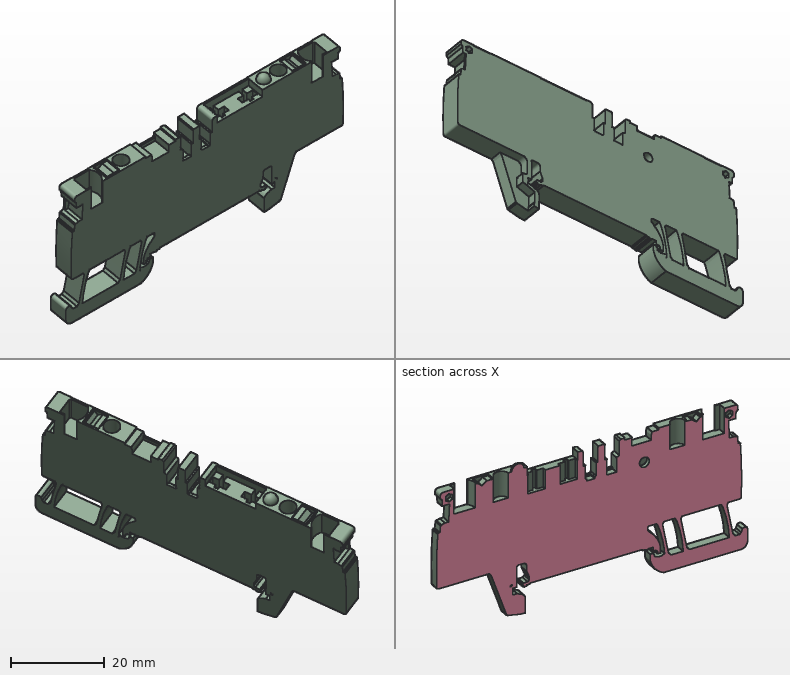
import cadquery as cq

THICKNESS = 5.1
X_LEFT = -THICKNESS / 2
X_RIGHT = THICKNESS / 2
SKIN = 0.55
X_INNER = X_LEFT + SKIN

Y_HIGH_END = 77.05
Y_LOW_END = 1.5
Y_MID = (Y_HIGH_END + Y_LOW_END) / 2
TOP = 36.2
TOTAL_HEIGHT = 37.75
BELLY = 12.55
RAIL_SEAT = 7.25
RIM_BEVEL_HEIGHT = 0.2
RIM_BEVEL_WIDTH = 0.1
EPS = 0.4


def slab(path, x_from=X_LEFT, x_to=X_RIGHT):
    """Prism over a closed YZ outline.

    A path entry (y, z) is a straight stretch to that point; an entry (y1, z1, y2, z2)
    is an arc through the first point that ends at the second.
    """
    outline = cq.Workplane("YZ", origin=(x_from, 0, 0)).moveTo(*path[0])
    for step in path[1:]:
        if len(step) == 2:
            outline = outline.lineTo(*step)
        else:
            outline = outline.threePointArc(step[:2], step[2:])
    return outline.close().extrude(x_to - x_from)


def box(x_range, y_range, z_range):
    """Box given by its ranges along the three axes."""
    sizes = [high - low for low, high in (x_range, y_range, z_range)]
    corner = (x_range[0], y_range[0], z_range[0])
    return cq.Workplane("XY").box(*sizes, centered=False).translate(corner)


def both_ends(shape):
    """A feature of the +Y half together with its mirror image in the -Y half."""
    return shape.union(shape.mirror("XZ", (0, Y_MID, 0)))


SLOT_FLOOR = 28.7
SLOT_LEDGE = 32.3
CHANNEL_X = (-1.85, 1.85)
CHANNEL_Y = ((37.9, 39.8), (32.5, 34.8))
CHANNEL_DEPTH = 0.3
NOTCH_STEP = 35.75
NOTCH_FLOOR = 34.7
NOTCH_Y = (23.95, 28.6)

END_BLOCK = 4.6
LABEL_Z = (28.5, 32.75)
LABEL_INSETS = (2.1, 2.3)
RECESS_DEPTH = 0.9

END_PROFILE = [
    (END_BLOCK, BELLY), (0.55, BELLY), (0.2, 12.7, 0.1, 13.1), (0, 18.1, 0.3, 26.3),
    (0.55, 26.5), (0.85, 26.5), (1.0, 28.1), (1.2, 28.3), (1.6, 28.35),
    (LABEL_INSETS[0], LABEL_Z[0]), (LABEL_INSETS[1], LABEL_Z[1]),
    (1.5, 32.75), (1.4, 34.3), (0.9, 34.8), (0.9, 35.4), (1.15, 36.0, 1.7, TOP), (END_BLOCK, TOP),
]

TOP_PROFILE = [
    (41.4, TOP), (40.8, 36.0, 40.6, 35.4), (40.6, SLOT_LEDGE), (40.1, SLOT_LEDGE), (40.1, 29.05),
    (39.8, SLOT_FLOOR), (37.9, SLOT_FLOOR), (37.6, 29.05), (37.6, SLOT_LEDGE), (37.1, SLOT_LEDGE),
    (37.1, 35.9), (37.05, TOP),
    (35.4, TOP), (35.3, 35.9), (35.3, SLOT_LEDGE), (34.8, SLOT_LEDGE), (34.8, SLOT_FLOOR),
    (32.5, SLOT_FLOOR), (32.5, 32.0), (31.8, 32.35), (31.8, 35.9), (31.4, TOP),
    (30.4, TOP), (30.4, NOTCH_STEP), (NOTCH_Y[1], NOTCH_STEP), (NOTCH_Y[1], 35.0), (28.35, NOTCH_FLOOR),
    (24.1, NOTCH_FLOOR), (NOTCH_Y[0], 35.0), (23.7, NOTCH_STEP), (22.1, NOTCH_STEP), (22.1, TOP),
]

RAIL_PROFILE = [
    (24.3, BELLY), (24.6, 12.5, 24.7, 12.2), (24.7, 11.6), (23.1, 10.0), (22.2, 8.6), (21.8, 7.7),
    (21.6, 6.8), (21.6, 5.1), (22.3, 5.1), (22.35, 5.6), (22.7, 6.1), (23.4, 6.1), (23.4, 7.0),
    (24.5, 7.0), (24.7, 6.8), (25.1, 6.8), (25.35, 7.0), (26.0, 7.0), (26.2, RAIL_SEAT),
    (53.8, RAIL_SEAT), (53.9, 7.0), (54.55, 7.0), (54.8, 6.8), (55.3, 6.8), (55.5, 7.0), (55.7, 7.0),
    (55.7, 7.6), (55.55, 7.85), (54.5, 7.85), (54.1, 8.25), (54.1, 8.85),
    (54.8, 10.55), (54.8, 11.9), (54.9, 12.3, 55.4, BELLY), (59.25, BELLY),
]


def at_high_end(step):
    """Turn the distances in a path entry into Y positions at the +Y end."""
    return [Y_HIGH_END - value if index % 2 == 0 else value for index, value in enumerate(step)]


def make_housing():
    ends = both_ends(slab([at_high_end(step) for step in END_PROFILE]))
    high_joint = Y_HIGH_END - END_BLOCK
    low_joint = Y_LOW_END + END_BLOCK
    middle = [(high_joint, TOP)] + TOP_PROFILE + [(low_joint, TOP), (low_joint, BELLY)]
    middle += RAIL_PROFILE + [(high_joint, BELLY)]
    return slab(middle).union(ends)


def make_recesses():
    """Label recesses and marker notch, sunk behind the rim of the side wall."""
    bottom, top = (Y_HIGH_END - inset for inset in LABEL_INSETS)
    label = slab(
        [
            (bottom + EPS, LABEL_Z[0]), (bottom - RECESS_DEPTH, LABEL_Z[0]),
            (top - RECESS_DEPTH, LABEL_Z[1]), (top + EPS, LABEL_Z[1]),
        ],
        X_INNER,
        X_RIGHT + EPS,
    )
    notch = box((X_INNER, X_RIGHT + EPS), NOTCH_Y, (NOTCH_FLOOR - RECESS_DEPTH, NOTCH_STEP))
    return both_ends(label).union(notch)


def make_slot_channels():
    """Shallow channel along the floor of each slot."""
    z_range = (SLOT_FLOOR - CHANNEL_DEPTH, SLOT_FLOOR + EPS)
    channels = [box(CHANNEL_X, y_range, z_range) for y_range in CHANNEL_Y]
    return channels[0].union(channels[1])


WEB_RECESS = 2.1

HOOK = [
    (59.25, BELLY), (58.55, 12.2, 58.25, 11.3), (58.25, 8.4), (58.5, 8.0, 59.1, 7.85), (59.4, 7.85),
    (59.4, 5.4), (56.2, 4.2), (56.2, 1.5), (56.4, 1.3), (56.4, 0.3), (55.0, 0.2),
    (55.0, 4.3), (55.4, 4.85, 56.2, 5.3), (57.1, 5.7), (58.0, 5.7), (58.0, 7.25), (57.1, 7.25),
    (57.1, 12.2), (56.9, 12.5, 56.6, BELLY),
]
WEB = [
    (63.95, BELLY), (63.5, 11.95), (59.7, 1.15), (59.4, 0.9), (56.4, 0.3), (56.4, 1.3), (56.2, 1.5),
    (56.2, 4.2), (58.7, 5.4), (58.7, 7.9), (58.2, 8.4), (58.2, BELLY),
]


def make_latch():
    return slab(HOOK).union(slab(WEB, X_LEFT + WEB_RECESS, X_RIGHT))


FOOT_TOP = 3.9
LEG_Y = (19.0, 14.5, 3.1)

FOOT = [
    (24.2, 5.6), (24.2, 4.0), (22.95, 1.55, 20.8, 0), (1.7, 0), (0.55, 0.5, 0, 1.55),
    (0, 4.5), (0.55, 5.3, 1.4, 5.1), (1.7, 4.3), (2.1, FOOT_TOP),
    (20.65, FOOT_TOP), (20.65, 4.8), (21.9, 4.4, 23.0, 4.8), (23.3, 5.6),
]


def make_leg(y):
    """Curved spring leg, flared where it meets the housing."""
    return slab([
        (y, FOOT_TOP), (y + 1.55, FOOT_TOP), (y + 2.0, 7.7, y + 3.15, 11.9), (y + 3.55, BELLY),
        (y + 1.7, BELLY), (y + 2.0, 12.0), (y + 1.15, 7.7, y + 0.55, 4.6),
    ])


def make_foot():
    foot = slab(FOOT)
    for leg_y in LEG_Y:
        foot = foot.union(make_leg(leg_y))
    return foot


ENTRY_Y = (68.2, 72.65)
ENTRY_BULGE = 0.8
ENTRY_DEPTH = 6.2
ENTRY_CORNER = 0.3
ENTRY_WALL = 0.3
WINDOW_Y = (68.25, 71.4)
TEST_HOLE_Y = 61.1
TEST_HOLE_RADIUS = 1.85
TEST_HOLE_DEPTH = 6.2
GROOVE_X = (-2.1, 2.1)
GROOVE_LEDGE = TOP - 0.4
GROOVE_FLOOR = TOP - 1.2


def make_wire_entry():
    """Wire opening with a bulged inner end and a window through the +X wall."""
    x_wall = X_RIGHT - ENTRY_WALL
    inner, outer = ENTRY_Y
    opening = (
        cq.Workplane("XY", origin=(0, 0, TOP - ENTRY_DEPTH))
        .moveTo(X_INNER + ENTRY_CORNER, outer)
        .lineTo(x_wall, outer)
        .lineTo(x_wall, inner)
        .threePointArc(((X_INNER + x_wall) / 2, inner - ENTRY_BULGE), (X_INNER, inner))
        .lineTo(X_INNER, outer - ENTRY_CORNER)
        .close()
        .extrude(ENTRY_DEPTH + EPS)
    )
    window = box((0, X_RIGHT + EPS), WINDOW_Y, (TOP - ENTRY_DEPTH, TOP + EPS))
    return opening.union(window)


def make_release_groove():
    """V-shaped groove with a flat ledge on its inner side."""
    profile = [
        (67.0, TOP + EPS), (67.0, GROOVE_LEDGE), (66.65, GROOVE_LEDGE), (65.8, GROOVE_FLOOR),
        (64.55, GROOVE_LEDGE), (63.25, GROOVE_LEDGE), (63.25, TOP + EPS),
    ]
    return slab(profile, *GROOVE_X)


def make_test_hole():
    return (
        cq.Workplane("XY", origin=(0, TEST_HOLE_Y, TOP - TEST_HOLE_DEPTH))
        .circle(TEST_HOLE_RADIUS)
        .extrude(TEST_HOLE_DEPTH + EPS)
    )


SHAFT_Y = (42.1, 54.55)
SHAFT_FLOOR = TOP - 2.0
CROSS_DEPTH = 4.6
CROSS_Y = (52.2, 44.3)
CROSS_STEM_X = (-0.4, 1.15)
CROSS_STEM_LENGTH = 4.15
CROSS_ARM_X = (X_INNER, 1.85)
CROSS_ARM_WIDTH = 0.9


def make_cross(y):
    z_range = (SHAFT_FLOOR - CROSS_DEPTH, SHAFT_FLOOR + EPS)
    stem = box(CROSS_STEM_X, (y - CROSS_STEM_LENGTH / 2, y + CROSS_STEM_LENGTH / 2), z_range)
    arm = box(CROSS_ARM_X, (y - CROSS_ARM_WIDTH / 2, y + CROSS_ARM_WIDTH / 2), z_range)
    return stem.union(arm)


def make_bridge_shaft():
    shaft = box((X_INNER, X_RIGHT + EPS), SHAFT_Y, (SHAFT_FLOOR, TOP + EPS))
    for y in CROSS_Y:
        shaft = shaft.union(make_cross(y))
    return shaft


SIDE_HOLE_DEPTH = 3.85
PIN_HOLE = (25.6, 28.7)
PIN_HOLE_RADIUS = 1.15
HEX_HOLE = (73.9, 34.35)
HEX_HOLE_DIAMETER = 1.85
DOME_X = 0.15
DOME_Y = 56.85
DOME_RADIUS = 1.6


def make_side_holes():
    face = cq.Workplane("YZ", origin=(X_LEFT, 0, 0))
    pin = face.center(*PIN_HOLE).circle(PIN_HOLE_RADIUS).extrude(SIDE_HOLE_DEPTH)
    hexagon = face.center(*HEX_HOLE).transformed(rotate=(0, 0, 90)).polygon(6, HEX_HOLE_DIAMETER)
    return both_ends(hexagon.extrude(SIDE_HOLE_DEPTH)).union(pin)


def make_dome():
    return cq.Workplane("XY").sphere(DOME_RADIUS).translate((DOME_X, DOME_Y, TOTAL_HEIGHT - DOME_RADIUS))


def make_rim_wedge(y_range, z):
    """Wedge that bevels the outer edge of a level rim at height z."""
    low, high = y_range
    return (
        cq.Workplane("XZ", origin=(0, high, 0))
        .polyline([(X_LEFT, z - RIM_BEVEL_HEIGHT), (X_LEFT + RIM_BEVEL_WIDTH, z), (X_LEFT, z)])
        .close()
        .extrude(high - low)
    )


def make_rim_bevels():
    top_rims = both_ends(make_rim_wedge(ENTRY_Y, TOP))
    return top_rims.union(make_rim_wedge(SHAFT_Y, TOP)).union(make_rim_wedge(NOTCH_Y, NOTCH_FLOOR))


result = make_housing().union(make_latch()).union(make_foot())
result = result.cut(make_recesses())
result = result.cut(make_slot_channels())
result = result.cut(both_ends(make_wire_entry()))
result = result.cut(both_ends(make_release_groove()))
result = result.cut(both_ends(make_test_hole()))
result = result.cut(make_bridge_shaft())
result = result.cut(make_side_holes())
result = result.cut(make_rim_bevels())
result = result.union(make_dome())